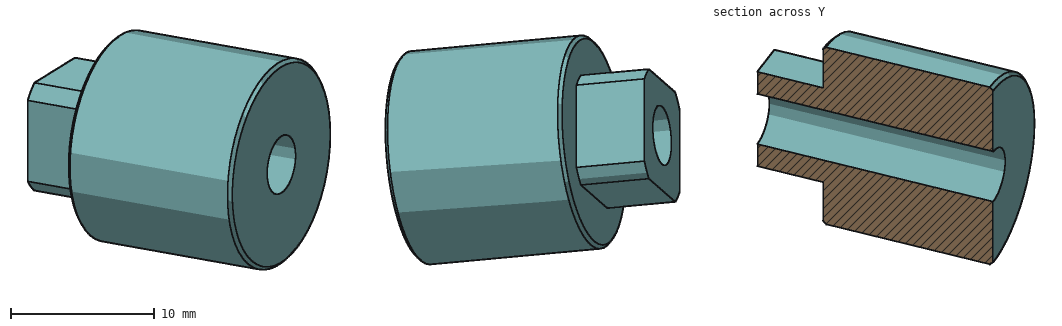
import cadquery as cq

body_diameter = 15.0
body_length = 13.0
rim_chamfer = 0.25

shank_width = 8.0
shank_length = 5.0
shank_corner_diameter = 10.0

bore_diameter = 4.2

total_length = shank_length + body_length


def make_body():
    """Round body from x = 0 to body_length, with both rims chamfered."""
    body = cq.Workplane("YZ").circle(body_diameter / 2).extrude(body_length)
    return body.edges("%CIRCLE").chamfer(rim_chamfer)


def make_shank():
    """Square shank from x = 0 to -shank_length, with rounded-off corners."""
    square = cq.Workplane("YZ").rect(shank_width, shank_width).extrude(-shank_length)
    corner_round = cq.Workplane("YZ").circle(shank_corner_diameter / 2).extrude(-shank_length)
    return square.intersect(corner_round)


def make_bore():
    """Cutter for the hole through the shank and the body."""
    bore = cq.Workplane("YZ", origin=(-shank_length, 0, 0))
    return bore.circle(bore_diameter / 2).extrude(total_length)


result = make_body().union(make_shank()).cut(make_bore())